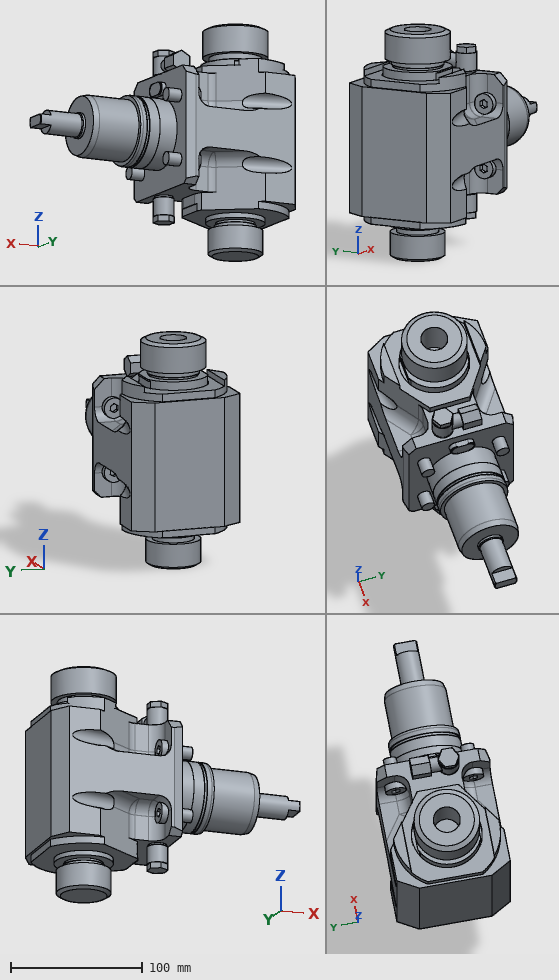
import cadquery as cq
import math


half_width = 44.0
body_left = -37.0
body_right = 40.0
body_top = 47.6
body_bottom = -53.2
core_bottom = -45.2
left_chamfer_x = 9.0
left_chamfer_y = 15.8
flank_start_x = -2.5
flank_angle = 35.0
flank_slope = math.tan(math.radians(flank_angle))

flange_front = 55.0
flange_back = 65.0
flange_bevel_start = 57.5
flange_back_half_width = 42.0
flange_corner_sum = 83.8

neck_half_width = 20.4
pocket_floor = 15.8
pocket_radius = 10.0
clearance = 20.0

cap_radius = 41.0
cap_left = -35.0
cap_inner_half_width = 32.3
top_cap_top = 53.6
top_cap_rim_top = 58.3
top_cap_right = 37.5
bottom_cap_bottom = -58.9
bottom_cap_right = 39.3

ring_radius = 26.5
ring_bore_radius = 27.0
ring_top = 60.1
ring_lip_bottom = 58.8
ring_lip_half_width = 24.4
ring_flat_half_width = 23.0

top_groove_radius = 19.2
top_groove_end = 61.8
top_neck_radius = 20.2
top_nut_radius = 25.0
top_nut_base = 66.2
top_nut_end = 88.6
top_nut_chamfer_width = 4.0
nut_chamfer_height = 2.0
collet_radius = 10.2
collet_depth = 30.0

bottom_collar_radius = 22.7
bottom_collar_end = -62.6
bottom_groove_radius = 15.2
bottom_groove_end = -64.5
bottom_neck_radius = 16.1
bottom_nut_radius = 21.0
bottom_nut_base = -68.2
bottom_nut_end = -88.22
bottom_nut_chamfer_width = 3.2

shank_radius = 27.5
shank_relief_radius = 27.4
shank_relief_end = 79.6
seal_groove_radius = 26.6
seal_groove_start = 88.4
seal_groove_end = 90.6
seal_collar_taper_start = 94.2
seal_collar_end_radius = 27.1
shank_shoulder = 96.2
pilot_radius = 24.0
pilot_taper_start = 130.1
pilot_tip_radius = 22.8
pilot_end = 134.8
drive_collar_radius = 10.0
drive_collar_chamfer = 0.7
drive_collar_end = 137.4
drive_shaft_radius = 9.1
drive_end = 173.0
drive_end_chamfer = 0.6
tang_start = 163.7
tang_half_thickness = 3.9

screw_y = 30.0
screw_z = 25.0
screw_radius = 5.1
screw_end = 75.9
screw_head_radius = 8.0
screw_head_front = 49.8
screw_socket_width = 6.0
screw_socket_depth = 3.5

access_radius = 6.1
access_angle = 15.1
access_entry_x = -1.8
access_length = 30.0

coolant_x = 55.6
coolant_y = -11.8
coolant_hex_width = 14.2
coolant_body_radius = 8.0
coolant_neck_radius = 7.2
coolant_neck_length = 1.5
coolant_body_end = 15.5
coolant_total_length = 20.2

nozzle_z = 55.6
nozzle_radius = 5.6
nozzle_hex_start = 2.7
nozzle_hex_end = 17.3

key_length = 19.6
key_height = 9.8
key_z = 35.0
key_depth = 3.6
key_face_length = 18.0
key_face_depth = 4.5


def mirror_copies(shape, plane):
    """The shape together with its mirror image."""
    return shape.union(shape.mirror(plane))


def four_corners(shape):
    """Copies of a +Y, +Z shape at all four corners around the shank axis."""
    return mirror_copies(mirror_copies(shape, "XZ"), "XY")


def flank_y(x):
    """Half width of the housing on its sloping flank."""
    return half_width - (x - flank_start_x) * flank_slope


def flank_x(y):
    """X where the sloping flank has the given half width."""
    return flank_start_x + (half_width - y) / flank_slope


def slab(outline, z_low, z_high):
    return cq.Workplane("XY").workplane(offset=z_low).polyline(outline).close().extrude(z_high - z_low)


def disc(radius, z_low, z_high):
    return cq.Workplane("XY").workplane(offset=z_low).circle(radius).extrude(z_high - z_low)


def block(x_low, x_high, y_low, y_high, z_low, z_high):
    size = (x_high - x_low, y_high - y_low, z_high - z_low)
    return cq.Workplane("XY").box(*size, centered=False).translate((x_low, y_low, z_low))


def hexagon_bar(width_across_flats, length):
    """Hexagonal bar standing on Z = 0, with corners towards +Y and -Y."""
    corner_radius = width_across_flats / math.sqrt(3)
    angles = [math.radians(90 + 60 * step) for step in range(6)]
    corners = [(corner_radius * math.cos(a), corner_radius * math.sin(a)) for a in angles]
    return slab(corners, 0, length)


def symmetric_outline(half):
    """Complete an outline of points with Y > 0 by its mirror image in Y."""
    return half + [(x, -y) for x, y in reversed(half)]


def make_body():
    housing_outline = symmetric_outline([
        (body_left, half_width - left_chamfer_y),
        (body_left + left_chamfer_x, half_width),
        (flank_start_x, half_width),
        (body_right, flank_y(body_right)),
    ])
    rounded_end = disc(cap_radius, body_bottom, core_bottom).union(
        block(body_left, cap_radius / 2, -half_width, half_width, body_bottom, core_bottom))
    lower_housing = slab(housing_outline, body_bottom, core_bottom).intersect(rounded_end)
    block_outline = symmetric_outline([
        (body_left, half_width - left_chamfer_y),
        (body_left + left_chamfer_x, half_width),
        (flange_bevel_start, half_width),
        (flange_back, flange_back_half_width),
    ])
    upper_block = slab(block_outline, core_bottom, body_top)
    return lower_housing.union(upper_block)


def cut_flange_corners(body):
    reach = flange_corner_sum + clearance
    for side in (-1, 1):
        for level in (-1, 1):
            corner = (
                cq.Workplane("YZ").workplane(offset=flange_front - pocket_radius)
                .polyline([(side * flange_corner_sum, 0), (0, level * flange_corner_sum),
                           (side * reach, level * reach)])
                .close().extrude(flange_back - flange_front + 2 * pocket_radius)
            )
            body = body.cut(corner)
    return body


def make_pocket():
    """Cutter for the pocket at +Y, +Z, with ball-milled inner edges."""
    outer_y = half_width + clearance
    outline = [
        (flank_x(outer_y), outer_y),
        (flank_x(neck_half_width), neck_half_width),
        (flange_front, neck_half_width),
        (flange_front, outer_y),
    ]
    pocket = slab(outline, pocket_floor, body_top + clearance)
    pocket = pocket.edges("|Z and (not >Y)").fillet(pocket_radius)
    return pocket.faces("<Z").edges("not >Y").fillet(pocket_radius)


def make_access_channel():
    """Cutter for the slanted driver channel at +Y, +Z, which runs out into the pocket."""
    angle = math.radians(access_angle)
    direction = cq.Vector(math.cos(angle), -math.sin(angle), 0)
    start = cq.Vector(access_entry_x, half_width, screw_z) - direction * access_length
    return cq.Workplane(obj=cq.Solid.makeCylinder(access_radius, 2 * access_length, start, direction))


def cap_outline(right):
    return symmetric_outline([
        (cap_left, half_width),
        (flank_start_x, half_width),
        (right, flank_y(right)),
    ])


def make_top_cap():
    shape = disc(cap_radius, body_top, top_cap_rim_top)
    shape = shape.intersect(slab(cap_outline(top_cap_right), body_top, top_cap_rim_top))
    recess = block(-half_width, half_width, -cap_inner_half_width, cap_inner_half_width,
                   top_cap_top, top_cap_rim_top)
    bore = disc(ring_bore_radius, body_top, top_cap_rim_top)
    return shape.cut(recess).cut(bore)


def make_bottom_cap():
    shape = disc(cap_radius, bottom_cap_bottom, body_bottom)
    return shape.intersect(slab(cap_outline(bottom_cap_right), bottom_cap_bottom, body_bottom))


def make_nut(radius, height, chamfer_width):
    """Collet nut standing on Z = 0 with a chamfered upper rim."""
    return disc(radius, 0, height).faces(">Z").edges().chamfer(nut_chamfer_height, chamfer_width)


def make_top_spindle():
    def between_flats(half, z_low, z_high):
        return block(-ring_radius, ring_radius, -half, half, z_low, z_high)

    lower_flats = between_flats(ring_flat_half_width, body_top, ring_lip_bottom)
    lip_flats = between_flats(ring_lip_half_width, ring_lip_bottom, ring_top)
    ring = disc(ring_radius, body_top, ring_top).intersect(lower_flats.union(lip_flats))
    groove = disc(top_groove_radius, ring_top, top_groove_end)
    neck = disc(top_neck_radius, top_groove_end, top_nut_base)
    nut = make_nut(top_nut_radius, top_nut_end - top_nut_base, top_nut_chamfer_width)
    nut = nut.translate((0, 0, top_nut_base))
    bore = disc(collet_radius, top_nut_end - collet_depth, top_nut_end)
    return ring.union(groove).union(neck).union(nut).cut(bore)


def make_bottom_spindle():
    collar = disc(bottom_collar_radius, bottom_collar_end, bottom_cap_bottom)
    groove = disc(bottom_groove_radius, bottom_groove_end, bottom_collar_end)
    neck = disc(bottom_neck_radius, bottom_nut_base, bottom_groove_end)
    nut = make_nut(bottom_nut_radius, bottom_nut_base - bottom_nut_end, bottom_nut_chamfer_width)
    nut = nut.mirror("XY").translate((0, 0, bottom_nut_base))
    return collar.union(groove).union(neck).union(nut)


def make_shank():
    profile = [
        (flange_front, 0),
        (flange_front, shank_relief_radius),
        (shank_relief_end, shank_relief_radius),
        (shank_relief_end, shank_radius),
        (seal_groove_start, shank_radius),
        (seal_groove_start, seal_groove_radius),
        (seal_groove_end, seal_groove_radius),
        (seal_groove_end, shank_radius),
        (seal_collar_taper_start, shank_radius),
        (shank_shoulder, seal_collar_end_radius),
        (shank_shoulder, pilot_radius),
        (pilot_taper_start, pilot_radius),
        (pilot_end, pilot_tip_radius),
        (pilot_end, drive_collar_radius),
        (drive_collar_end - drive_collar_chamfer, drive_collar_radius),
        (drive_collar_end, drive_collar_radius - drive_collar_chamfer),
        (drive_collar_end, drive_shaft_radius),
        (drive_end, drive_shaft_radius),
        (drive_end, 0),
    ]
    shank = cq.Workplane("XY").polyline(profile).close().revolve(360, (0, 0, 0), (1, 0, 0))
    shank = shank.faces(">X").edges().chamfer(drive_end_chamfer)
    tang_side = block(tang_start, drive_end, -drive_shaft_radius, drive_shaft_radius,
                      tang_half_thickness, drive_shaft_radius)
    return shank.cut(mirror_copies(tang_side, "XY"))


def make_flange_screw():
    """Socket head screw through the flange at +Y, +Z."""
    axis = cq.Workplane("YZ").center(screw_y, screw_z)
    head_plane = axis.workplane(offset=screw_head_front)
    head = head_plane.circle(screw_head_radius).extrude(flange_front - screw_head_front)
    stem = axis.workplane(offset=flange_front).circle(screw_radius).extrude(screw_end - flange_front)
    socket = head_plane.polygon(6, screw_socket_width, circumscribed=True).extrude(screw_socket_depth)
    return head.union(stem).cut(socket)


def make_coolant_fitting():
    """Upright fitting that starts at Z = 0, with hexagon corners towards +Y and -Y."""
    neck = disc(coolant_neck_radius, 0, coolant_neck_length)
    barrel = disc(coolant_body_radius, coolant_neck_length, coolant_body_end)
    head = hexagon_bar(coolant_hex_width, coolant_total_length - coolant_body_end)
    head = head.translate((0, 0, coolant_body_end))
    return neck.union(barrel).union(head)


def make_coolant_fittings():
    fitting = make_coolant_fitting()
    upper = fitting.translate((coolant_x, coolant_y, body_top))
    lower = fitting.mirror("XY").translate((coolant_x, coolant_y, core_bottom))
    return [upper, lower]


def make_coolant_nozzle():
    """Nozzle that leaves the upper fitting along +Y and ends in a hexagon."""
    stem = disc(nozzle_radius, coolant_y, nozzle_hex_start)
    head = hexagon_bar(coolant_hex_width, nozzle_hex_end - nozzle_hex_start)
    nozzle = stem.union(head.translate((0, 0, nozzle_hex_start)))
    nozzle = nozzle.rotate((0, 0, 0), (1, 0, 0), -90)
    return nozzle.translate((coolant_x, 0, nozzle_z))


def make_locating_key():
    def obround(length, depth):
        plane = cq.Workplane("YZ", origin=(flange_back, 0, key_z))
        return plane.slot2D(length, key_height).extrude(depth)

    return obround(key_length, key_depth).union(obround(key_face_length, key_face_depth))


result = cut_flange_corners(make_body())
for make_cutter in (make_pocket, make_access_channel):
    result = result.cut(four_corners(make_cutter()))

parts = [
    make_top_cap(),
    make_bottom_cap(),
    make_top_spindle(),
    make_bottom_spindle(),
    make_shank(),
    four_corners(make_flange_screw()),
    *make_coolant_fittings(),
    make_coolant_nozzle(),
    make_locating_key(),
]
for part in parts:
    result = result.union(part)